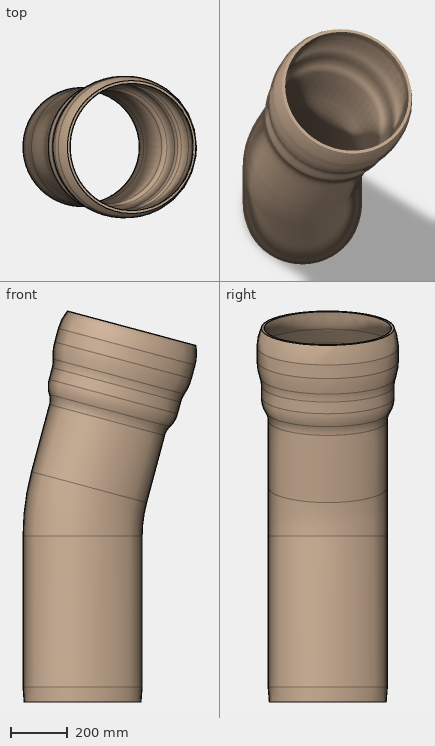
import cadquery as cq
import math

pipe_diameter = 420.0
wall = 10.3
spigot_tip_diameter = 412.0
spigot_taper_length = 52.0
straight_length = 584.0
bend_angle = 15.0
bend_radius = 668.0
overall_height = 1377.0

neck_diameter = 468.0
bulge_diameter = 499.0
mouth_diameter = 468.0

bulge_front = 67.0
bulge_back = 117.0
bulge_inflection = 176.0
neck_front = 207.0
neck_back = 250.0
shoulder_inflection = 300.0
socket_root = 335.0

pipe_radius = pipe_diameter / 2
neck_radius = neck_diameter / 2
bulge_radius = bulge_diameter / 2
mouth_radius = mouth_diameter / 2

tilt = math.radians(bend_angle)
bend_top_height = straight_length + bend_radius * math.sin(tilt)
upper_length = (overall_height - bend_top_height - mouth_radius * math.sin(tilt)) / math.cos(tilt)


def s_curve(outline, start, end, inflection_height):
    """Join two cylinders by two tangent arcs that meet on the straight chord."""
    fraction = (inflection_height - start[1]) / (end[1] - start[1])
    inflection = (start[0] + fraction * (end[0] - start[0]), inflection_height)
    outline = outline.tangentArcPoint(inflection, relative=False)
    return outline.tangentArcPoint(end, relative=False)


def upper_solid(inset):
    """Upper pipe with its socket, on a vertical axis, reduced by a radial inset."""

    def station(radius, distance_from_mouth):
        return (radius - inset, upper_length - distance_from_mouth)

    root = station(pipe_radius, socket_root)
    neck_start = station(neck_radius, neck_back)
    neck_end = station(neck_radius, neck_front)
    bulge_start = station(bulge_radius, bulge_back)
    bulge_end = station(bulge_radius, bulge_front)
    mouth = station(mouth_radius, 0)

    outline = cq.Workplane("XZ").lineTo(pipe_radius - inset, 0).lineTo(*root)
    outline = s_curve(outline, root, neck_start, upper_length - shoulder_inflection)
    outline = outline.lineTo(*neck_end)
    outline = s_curve(outline, neck_end, bulge_start, upper_length - bulge_inflection)
    outline = outline.lineTo(*bulge_end)
    outline = outline.tangentArcPoint(mouth, relative=False)
    outline = outline.lineTo(0, upper_length).close()
    return outline.revolve(360, (0, 0, 0), (0, 1, 0))


def straight_pipe():
    """Lower pipe with a tapered spigot tip."""
    bore_radius = pipe_radius - wall
    profile = [
        (bore_radius, 0),
        (spigot_tip_diameter / 2, 0),
        (pipe_radius, spigot_taper_length),
        (pipe_radius, straight_length),
        (bore_radius, straight_length),
    ]
    return cq.Workplane("XZ").polyline(profile).close().revolve(360, (0, 0, 0), (0, 1, 0))


def bend():
    """Pipe elbow turning towards +X about an axis parallel to Y."""
    section = cq.Workplane("XY").workplane(offset=straight_length)
    section = section.circle(pipe_radius).circle(pipe_radius - wall)
    return section.revolve(bend_angle, (bend_radius, 0, 0), (bend_radius, 1, 0))


def socket_pipe():
    """Hollow upper pipe, tilted about the bend centre to meet the elbow."""
    pipe = upper_solid(0).cut(upper_solid(wall)).translate((0, 0, straight_length))
    bend_centre = (bend_radius, 0, straight_length)
    return pipe.rotate(bend_centre, (bend_radius, 1, straight_length), bend_angle)


result = straight_pipe().union(bend()).union(socket_pipe())